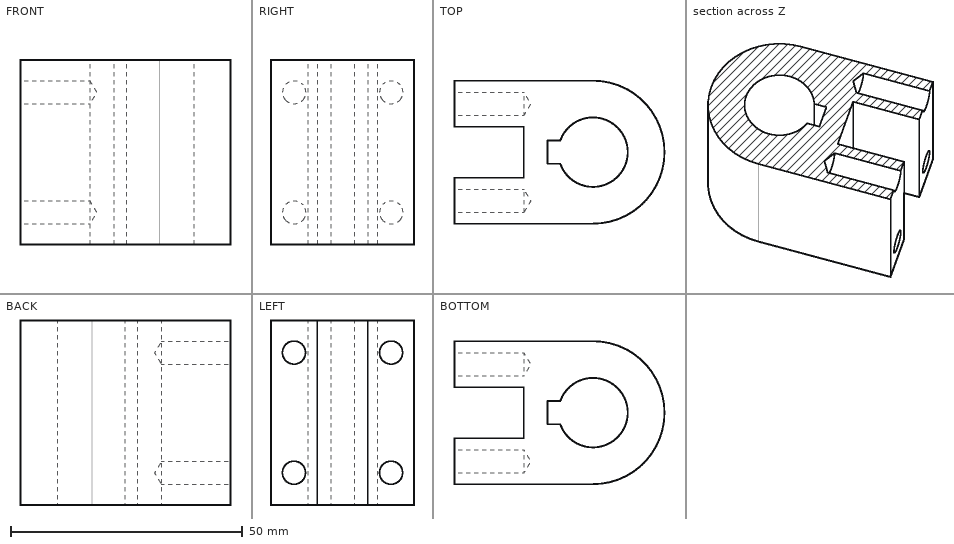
import cadquery as cq
import math

height = 40.0
width = 31.0
end_radius = width / 2
block_length = 30.0
flat_face_x = -block_length

slot_width = 11.0
slot_depth = 15.0
prong_thickness = (width - slot_width) / 2

bore_diameter = 15.0
keyway_width = 5.0
keyway_depth = 2.3
keyway_reach = bore_diameter / 2 + keyway_depth

hole_diameter = 5.0
hole_depth = 15.0
drill_point_angle = 118.0
hole_spacing_z = 26.0
hole_offset_y = (slot_width + prong_thickness) / 2


def make_body():
    return (
        cq.Workplane("XY")
        .moveTo(flat_face_x, -end_radius)
        .lineTo(0, -end_radius)
        .threePointArc((end_radius, 0), (0, end_radius))
        .lineTo(flat_face_x, end_radius)
        .close()
        .extrude(height)
    )


def make_slot():
    return (
        cq.Workplane("XY")
        .box(slot_depth, slot_width, height, centered=(False, True, False))
        .translate((flat_face_x, 0, 0))
    )


def make_keyed_bore():
    bore = cq.Workplane("XY").circle(bore_diameter / 2).extrude(height)
    keyway = (
        cq.Workplane("XY")
        .box(keyway_reach, keyway_width, height, centered=(False, True, False))
        .translate((-keyway_reach, 0, 0))
    )
    return bore.union(keyway)


def make_drilled_hole(y, z):
    """Blind hole along +X from the flat face, ending in a conical drill point."""
    radius = hole_diameter / 2
    point_length = radius / math.tan(math.radians(drill_point_angle / 2))
    return (
        cq.Workplane("XY")
        .lineTo(hole_depth + point_length, 0)
        .lineTo(hole_depth, radius)
        .lineTo(0, radius)
        .close()
        .revolve(360, (0, 0, 0), (1, 0, 0))
        .translate((flat_face_x, y, z))
    )


result = make_body().cut(make_slot()).cut(make_keyed_bore())
for side in (-1, 1):
    for level in (-1, 1):
        hole_z = height / 2 + level * hole_spacing_z / 2
        result = result.cut(make_drilled_hole(side * hole_offset_y, hole_z))